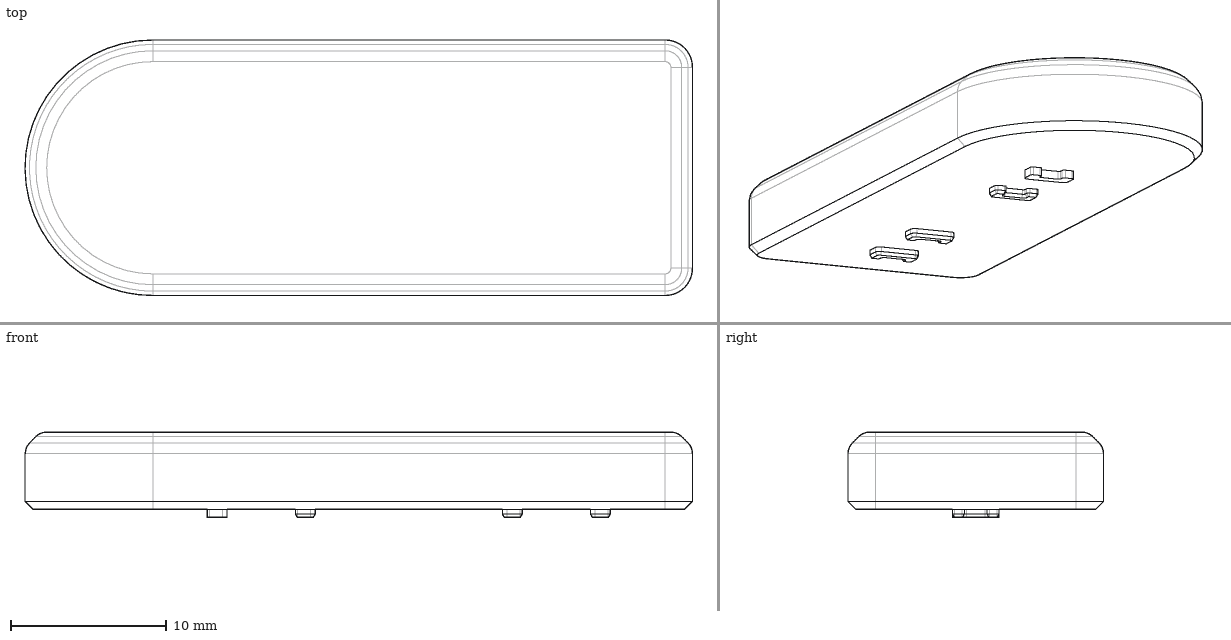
import cadquery as cq

length = 43.0
width = 16.45
body_height = 5.0
total_height = 5.5
end_radius = width / 2
corner_radius = 1.75

top_chamfer = 1.0
top_blend_radius = 1.0
bottom_chamfer = 0.5

foot_height = total_height - body_height
foot_length = 1.3
foot_width = 3.0
prong_width = 0.77
notch_depth = 0.5
tip_radius = 0.15
notch_radius = 0.15
back_radius = 0.3
rim_height = 0.2
rim_inset = 0.15

feet_center_x = 3.22
inner_foot_offset = 6.65
outer_foot_offset = 12.35


def make_body():
    """Slab with a semicircular -X end and small rounded corners at the +X end."""
    half_length = length / 2
    half_width = width / 2
    arc_center_x = -half_length + end_radius
    slab = (
        cq.Workplane("XY")
        .moveTo(arc_center_x, half_width)
        .threePointArc((-half_length, 0), (arc_center_x, -half_width))
        .lineTo(half_length, -half_width)
        .lineTo(half_length, half_width)
        .close()
        .extrude(body_height)
    )
    slab = slab.edges("|Z and >X").fillet(corner_radius)
    slab = slab.faces("<Z").edges().chamfer(bottom_chamfer)
    slab = slab.faces(">Z").edges().chamfer(top_chamfer)

    chamfer_foot_z = body_height - top_chamfer
    tolerance = 0.005
    lower_border = cq.selectors.BoxSelector(
        (-length, -width, chamfer_foot_z - tolerance),
        (length, width, chamfer_foot_z + tolerance),
        boundingbox=True,
    )
    slab = slab.faces(">Z").edges().fillet(top_blend_radius)
    return slab.edges(lower_border).fillet(top_blend_radius)


def make_foot(beveled):
    """C-shaped foot at the origin, open toward -X, hanging below Z = 0."""
    notch_width = foot_width - 2 * prong_width
    tip_x = -foot_length / 2
    foot = cq.Workplane("XY").rect(foot_length, foot_width).extrude(-foot_height)
    foot = foot.edges("|Z and >X").fillet(back_radius)
    notch = (
        cq.Workplane("XY")
        .center(tip_x, 0)
        .rect(2 * notch_depth, notch_width)
        .extrude(-foot_height)
        .edges("|Z")
        .fillet(notch_radius)
    )
    foot = foot.cut(notch)
    foot = foot.edges("|Z and <X").fillet(tip_radius)
    if beveled:
        foot = foot.faces("<Z").edges().chamfer(rim_height, rim_inset)
    return foot


result = make_body()

for offset, beveled in (
    (-outer_foot_offset, False),
    (-inner_foot_offset, True),
    (inner_foot_offset, True),
    (outer_foot_offset, True),
):
    foot = make_foot(beveled)
    if offset > 0:
        foot = foot.mirror("YZ")
    result = result.union(foot.translate((feet_center_x + offset, 0, 0)))